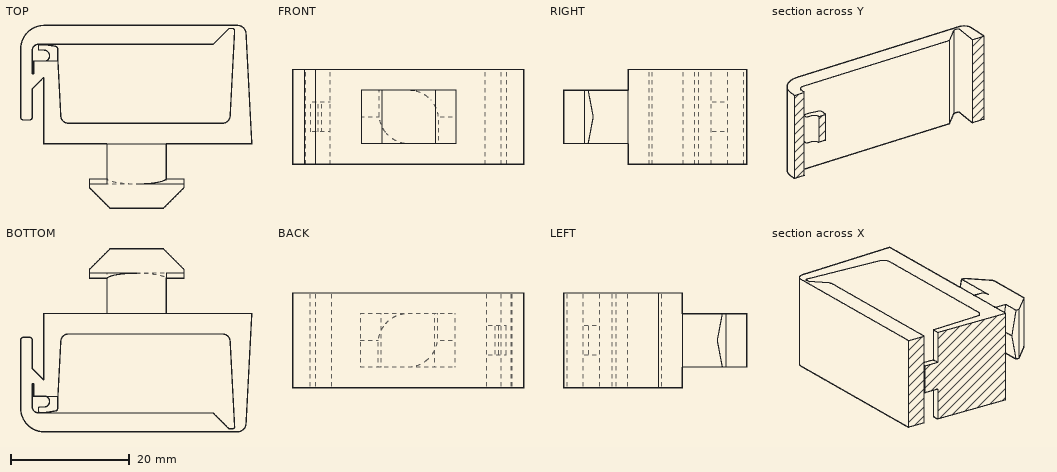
import cadquery as cq
import math

total_width = 39.0
frame_depth = 20.0
frame_height = 16.0
wall_draft = math.tan(math.radians(3))

floor_thickness = 3.5
lid_thickness = 3.25
outer_bend_radius = 4.0
inner_bend_radius = 1.0
hinge_corner_radius = 1.5
cavity_floor_radius = 1.25

arm_thickness = 2.0
arm_length = 16.0
arm_tip_radius = 0.5
wall_left_x = 3.9
wall_right_x = 6.3
step_y = frame_depth - 6.0
latch_gap = 0.25
latch_gap_bottom_y = frame_depth - 8.15
gusset_top_y = frame_depth - 8.8

hinge_thickness = 0.6
hinge_slot_left_x = 35.1
hinge_slot_right_x = 36.08
hinge_slot_radius = 0.27

hook_height = 5.0
hook_tip_x = 3.0
hook_right_x = 6.28
hook_lid_clearance = 0.05
hook_slope_start_x = 4.3
hook_slope_drop = 0.3
hook_tip_radius = 0.2
hook_corner_radius = 0.5
hook_curl_radius = 0.95
hook_curl_x = 3.95
hook_curl_y = frame_depth - 5.15

stud_x = 19.58
stud_length = 10.9
stud_height = 9.0
neck_width = 10.02
neck_corner_radius = neck_width / 2
head_width = 16.0
head_ridge_y = -5.9
head_shoulder_y = -6.75
head_chamfer = 3.5


def prism(outline, height):
    """Extrude a closed XY outline symmetrically about Z = 0."""
    return outline.close().extrude(height / 2, both=True)


def round_upright_edge(body, point, radius):
    """Round the Z-parallel edge closest to an XY point."""
    edge = cq.selectors.NearestToPointSelector((*point, 0))
    return body.edges("|Z").edges(edge).fillet(radius)


def make_envelope():
    hinge_corner = (total_width - frame_depth * wall_draft, frame_depth)
    arm_tip_y = frame_depth - arm_length
    gusset_foot_y = gusset_top_y - (wall_left_x - arm_thickness)
    body = prism(
        cq.Workplane("XY").polyline([
            (wall_left_x, 0),
            (total_width, 0),
            hinge_corner,
            (0, frame_depth),
            (0, arm_tip_y),
            (arm_thickness, arm_tip_y),
            (arm_thickness, gusset_foot_y),
            (wall_left_x, gusset_top_y),
        ]),
        frame_height,
    )
    body = round_upright_edge(body, hinge_corner, hinge_corner_radius)
    body = round_upright_edge(body, (0, frame_depth), outer_bend_radius)
    for tip_x in (0, arm_thickness):
        body = round_upright_edge(body, (tip_x, arm_tip_y), arm_tip_radius)
    return body


def make_cavity():
    lid_y = frame_depth - lid_thickness
    slot_y = frame_depth - hinge_thickness
    step_left_x = arm_thickness + latch_gap
    floor_left = (wall_right_x + (step_y - floor_thickness) * wall_draft, floor_thickness)
    floor_right = (hinge_slot_right_x - (slot_y - floor_thickness) * wall_draft, floor_thickness)
    slot_corner = (hinge_slot_right_x, slot_y)
    bend_corner = (arm_thickness, lid_y)
    cavity = prism(
        cq.Workplane("XY").polyline([
            floor_left,
            floor_right,
            slot_corner,
            (hinge_slot_left_x, slot_y),
            (hinge_slot_left_x - (slot_y - lid_y), lid_y),
            bend_corner,
            (arm_thickness, latch_gap_bottom_y),
            (step_left_x, latch_gap_bottom_y),
            (step_left_x, step_y),
            (wall_right_x, step_y),
        ]),
        frame_height,
    )
    for corner in (floor_left, floor_right):
        cavity = round_upright_edge(cavity, corner, cavity_floor_radius)
    cavity = round_upright_edge(cavity, slot_corner, hinge_slot_radius)
    return round_upright_edge(cavity, bend_corner, inner_bend_radius)


def make_hook():
    top_y = frame_depth - lid_thickness - hook_lid_clearance
    curl_top_y = hook_curl_y + hook_curl_radius
    curl_foot_x = hook_curl_x + math.sqrt(hook_curl_radius**2 - (hook_curl_y - step_y)**2)
    right_corner = (hook_right_x, top_y - hook_slope_drop)
    hook = prism(
        cq.Workplane("XY")
        .moveTo(curl_foot_x, step_y)
        .lineTo(hook_right_x, step_y)
        .lineTo(*right_corner)
        .lineTo(hook_slope_start_x, top_y)
        .lineTo(hook_tip_x, top_y)
        .lineTo(hook_tip_x, curl_top_y)
        .lineTo(hook_curl_x, curl_top_y)
        .threePointArc((hook_curl_x + hook_curl_radius, hook_curl_y), (curl_foot_x, step_y)),
        hook_height,
    )
    hook = round_upright_edge(hook, right_corner, hook_corner_radius)
    for tip_y in (top_y, curl_top_y):
        hook = round_upright_edge(hook, (hook_tip_x, tip_y), hook_tip_radius)
    return hook


def make_neck():
    """Square neck with two diagonally opposite corners rounded for turning in a slot."""
    left_x = stud_x - neck_width / 2
    right_x = stud_x + neck_width / 2
    top_z = stud_height / 2
    arc_inset = neck_corner_radius * (1 - math.sqrt(0.5))
    return (
        cq.Workplane("XZ")
        .moveTo(left_x, top_z)
        .lineTo(right_x - neck_corner_radius, top_z)
        .threePointArc((right_x - arc_inset, top_z - arc_inset), (right_x, top_z - neck_corner_radius))
        .lineTo(right_x, -top_z)
        .lineTo(left_x + neck_corner_radius, -top_z)
        .threePointArc((left_x + arc_inset, arc_inset - top_z), (left_x, neck_corner_radius - top_z))
        .close()
        .extrude(-head_shoulder_y)
    )


def make_head():
    """Bar with a ridged back face and chamfered ends."""
    half_height = stud_height / 2
    bar = (
        cq.Workplane("YZ", origin=(stud_x, 0, 0))
        .polyline([
            (-stud_length, -half_height),
            (head_shoulder_y, -half_height),
            (head_ridge_y, 0),
            (head_shoulder_y, half_height),
            (-stud_length, half_height),
        ])
        .close()
        .extrude(head_width / 2, both=True)
    )
    return bar.faces("<Y").edges("|Z").chamfer(head_chamfer)


frame = make_envelope().cut(make_cavity())
result = frame.union(make_hook()).union(make_neck()).union(make_head())